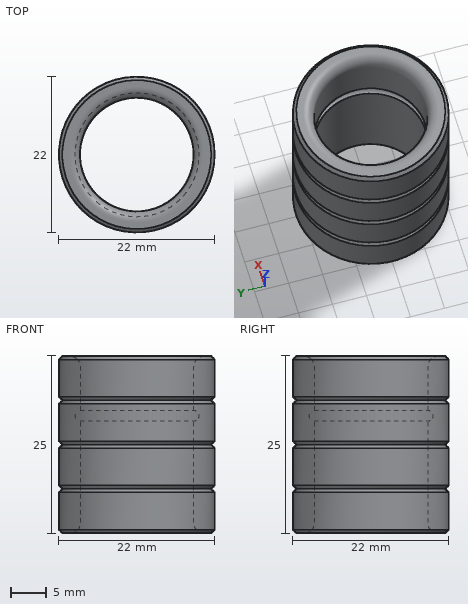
import cadquery as cq

height = 25.0
outer_radius = 11.0
bore_radius = 8.0
band_count = 4
band_height = height / band_count
chamfer = 0.5
mouth_rounding = 1.5

groove_radius = 0.75
groove_height = 16.6


def make_band(base_height):
    """Solid disc with chamfered rims; stacked discs form the outer V-grooves."""
    band = cq.Workplane("XY").workplane(offset=base_height).circle(outer_radius).extrude(band_height)
    return band.faces("<Z or >Z").edges().chamfer(chamfer)


def make_body():
    """Stack of bands with a through bore rounded at both mouths."""
    body = make_band(0)
    for index in range(1, band_count):
        body = body.union(make_band(index * band_height))
    bore = cq.Workplane("XY").circle(bore_radius).extrude(height)
    body = body.cut(bore)
    mouth_edges = body.faces("<Z or >Z").edges(cq.selectors.RadiusNthSelector(0))
    return mouth_edges.fillet(mouth_rounding)


def make_bore_groove():
    """Ring of round section centred on the bore wall."""
    return (
        cq.Workplane("XZ")
        .center(bore_radius, groove_height)
        .circle(groove_radius)
        .revolve(360, (-bore_radius, 0), (-bore_radius, 1))
    )


result = make_body().cut(make_bore_groove())